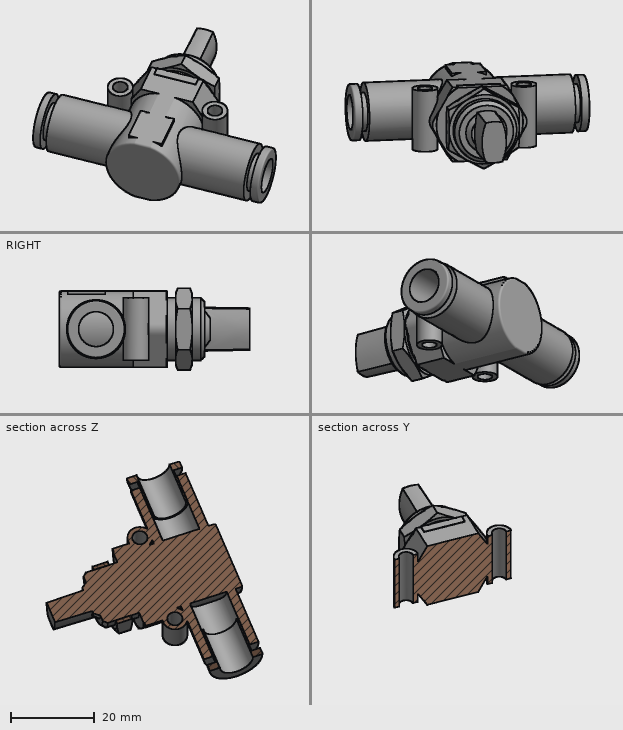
import cadquery as cq
import math


BARREL_RADIUS = 9.35
BARREL_BOTTOM_Y = -8.8
BARREL_EDGE_FILLET = 0.5
FLAT_HALF_HEIGHT = 9.1

HEAD_BASE_Y = 8.95
HEAD_TOP_Y = 17.0
HEAD_APOTHEM = 10.25
HEAD_CORNER_FILLET = 2.7
HEAD_FACE_RADIUS = 10.5
HEAD_FACE_STEP = 0.2

LABEL_WIDTH = 8.45
LABEL_LENGTH = 8.9
LABEL_CENTER_Y = -2.3
RECESS_WIDTH = 10.5
RECESS_LENGTH = 2.2
RECESS_DEPTH = 0.1

TUBE_RADIUS = 7.0
TUBE_END_X = 24.95

LUG_X = 11.95
LUG_Y = 9.5
LUG_RADIUS = 3.0
LUG_HOLE_RADIUS = 1.75
LUG_HEIGHT = 14.95

COLLET_END_X = 28.5
FLANGE_RADIUS = 6.8
FLANGE_THICKNESS = 1.95
FLANGE_FILLET = 0.4
COLLET_SLEEVE_RADIUS = 4.6
COLLET_SLEEVE_END_X = 17.1
COLLET_BORE_RADIUS = 4.15

NECK_RADIUS = 7.5
NECK_TOP_Y = 25.95
NECK_CHAMFER = 0.95

NUT_APOTHEM = 8.5
NUT_BASE_Y = 19.0
NUT_THICKNESS = 4.0
NUT_CHAMFER_HEIGHT = 0.5

KNOB_END_Y = 36.7
KNOB_HALF_WIDTH = 3.15
KNOB_HALF_HEIGHT = 5.25
KNOB_CORNER_X = 2.15
KNOB_CORNER_Z = 4.95
KNOB_DRAFT_ANGLE = 1.0
COLLAR_BASE_RADIUS = 4.95
COLLAR_TOP_RADIUS = 3.8
COLLAR_HEIGHT = 1.35

HEX_ANGLE = 60
HEX_CORNER_RATIO = 1 / math.cos(math.radians(HEX_ANGLE / 2))
SIDES = (-1, 1)


def across_y(y):
    """Workplane across the valve axis at y: local x is X, local y is Z; extrude(-length) goes toward +Y."""
    return cq.Workplane("XZ", origin=(0, y, 0))


def cylinder_along_y(radius, start_y, end_y):
    return across_y(start_y).circle(radius).extrude(start_y - end_y)


def cylinder_along_x(radius, start_x, end_x):
    return cq.Workplane("YZ", origin=(start_x, 0, 0)).circle(radius).extrude(end_x - start_x)


def cylinder_at_lug(radius, side):
    return (
        cq.Workplane("XY", origin=(side * LUG_X, LUG_Y, -LUG_HEIGHT / 2))
        .circle(radius)
        .extrude(LUG_HEIGHT)
    )


def turned_about_y(profile):
    """Solid of revolution about the valve axis from (radius, y) points."""
    return cq.Workplane("XY").polyline(profile).close().revolve(360, (0, 0, 0), (0, 1, 0))


def hexagonal_prism(apothem, first_corner_angle, start_y, end_y):
    corner_radius = apothem * HEX_CORNER_RATIO
    angles = [math.radians(first_corner_angle + HEX_ANGLE * i) for i in range(6)]
    corners = [(corner_radius * math.cos(a), corner_radius * math.sin(a)) for a in angles]
    return across_y(start_y).polyline(corners).close().extrude(start_y - end_y)


def make_head():
    """Hexagon with rounded corners on +X and -X and a raised round face on its end."""
    shoulder_y = HEAD_TOP_Y - HEAD_FACE_STEP
    prism = hexagonal_prism(HEAD_APOTHEM, 0, HEAD_BASE_Y, shoulder_y)
    prism = prism.edges("|Y").edges("<X or >X").fillet(HEAD_CORNER_FILLET)
    trim = hexagonal_prism(HEAD_APOTHEM, 0, shoulder_y, HEAD_TOP_Y)
    round_face = cylinder_along_y(HEAD_FACE_RADIUS, shoulder_y, HEAD_TOP_Y).intersect(trim)
    return prism.union(round_face)


def make_core():
    """Barrel and head trimmed to the two flats, with a rounded rim at the -Y end."""
    barrel = cylinder_along_y(BARREL_RADIUS, BARREL_BOTTOM_Y, HEAD_BASE_Y)
    flats = across_y(BARREL_BOTTOM_Y).rect(4 * BARREL_RADIUS, 2 * FLAT_HALF_HEIGHT)
    between_flats = flats.extrude(BARREL_BOTTOM_Y - HEAD_TOP_Y)
    core = barrel.union(make_head()).intersect(between_flats)
    return core.faces("<Y").edges().fillet(BARREL_EDGE_FILLET)


def make_tube(side):
    """Tube whose hole takes the collet sleeve; the hole ends at the barrel wall."""
    return (
        cylinder_along_x(TUBE_RADIUS, 0, side * TUBE_END_X)
        .cut(cylinder_along_x(COLLET_SLEEVE_RADIUS, 0, side * TUBE_END_X))
    )


def make_label_pad():
    return (
        cq.Workplane("XY", origin=(0, LABEL_CENTER_Y, 0))
        .rect(LABEL_WIDTH, LABEL_LENGTH)
        .extrude(FLAT_HALF_HEIGHT)
    )


def make_head_recess():
    return (
        cq.Workplane("XY", origin=(0, HEAD_TOP_Y - RECESS_LENGTH / 2, FLAT_HALF_HEIGHT))
        .rect(RECESS_WIDTH, RECESS_LENGTH)
        .extrude(-RECESS_DEPTH)
    )


def make_neck():
    neck = cylinder_along_y(NECK_RADIUS, HEAD_TOP_Y, NECK_TOP_Y)
    return neck.faces(">Y").edges().chamfer(NECK_CHAMFER)


def make_knob():
    """Flat finger grip with four bulging, drafted sides, standing in a conical collar."""
    corner_x, corner_z = KNOB_CORNER_X, KNOB_CORNER_Z
    grip = (
        across_y(NECK_TOP_Y)
        .moveTo(corner_x, -corner_z)
        .threePointArc((KNOB_HALF_WIDTH, 0), (corner_x, corner_z))
        .threePointArc((0, KNOB_HALF_HEIGHT), (-corner_x, corner_z))
        .threePointArc((-KNOB_HALF_WIDTH, 0), (-corner_x, -corner_z))
        .threePointArc((0, -KNOB_HALF_HEIGHT), (corner_x, -corner_z))
        .close()
        .extrude(NECK_TOP_Y - KNOB_END_Y, taper=KNOB_DRAFT_ANGLE)
    )
    collar = turned_about_y([
        (0, NECK_TOP_Y),
        (COLLAR_BASE_RADIUS, NECK_TOP_Y),
        (COLLAR_TOP_RADIUS, NECK_TOP_Y + COLLAR_HEIGHT),
        (0, NECK_TOP_Y + COLLAR_HEIGHT),
    ])
    return grip.union(collar)


def make_housing():
    housing = make_core().union(make_label_pad()).cut(make_head_recess())
    housing = housing.union(make_neck()).union(make_knob())
    for side in SIDES:
        housing = housing.union(make_tube(side))
        housing = housing.union(cylinder_at_lug(LUG_RADIUS, side))
        housing = housing.cut(cylinder_at_lug(LUG_HOLE_RADIUS, side))
    return housing


def make_nut():
    """Hexagon nut, chamfered on both ends, that fits around the neck."""
    top_y = NUT_BASE_Y + NUT_THICKNESS
    corner_radius = NUT_APOTHEM * HEX_CORNER_RATIO
    turned_blank = turned_about_y([
        (0, NUT_BASE_Y),
        (NUT_APOTHEM, NUT_BASE_Y),
        (corner_radius, NUT_BASE_Y + NUT_CHAMFER_HEIGHT),
        (corner_radius, top_y - NUT_CHAMFER_HEIGHT),
        (NUT_APOTHEM, top_y),
        (0, top_y),
    ])
    prism = hexagonal_prism(NUT_APOTHEM, HEX_ANGLE / 2, NUT_BASE_Y, top_y)
    return prism.intersect(turned_blank).cut(cylinder_along_y(NECK_RADIUS, NUT_BASE_Y, top_y))


def make_collet(side):
    """Flange outside the tube end on a thin sleeve that slides into the tube."""
    flange_x = COLLET_END_X - FLANGE_THICKNESS
    outer_face = ">X" if side > 0 else "<X"
    flange = cylinder_along_x(FLANGE_RADIUS, side * flange_x, side * COLLET_END_X)
    flange = flange.faces(outer_face).edges().fillet(FLANGE_FILLET)
    sleeve = cylinder_along_x(COLLET_SLEEVE_RADIUS, side * COLLET_SLEEVE_END_X, side * flange_x)
    bore = cylinder_along_x(COLLET_BORE_RADIUS, side * COLLET_SLEEVE_END_X, side * COLLET_END_X)
    return flange.union(sleeve).cut(bore)


housing = make_housing()
nut = make_nut()
collets = [make_collet(side) for side in SIDES]

result = cq.Compound.makeCompound([
    housing.val(),
    nut.val(),
    *[collet.val() for collet in collets],
])